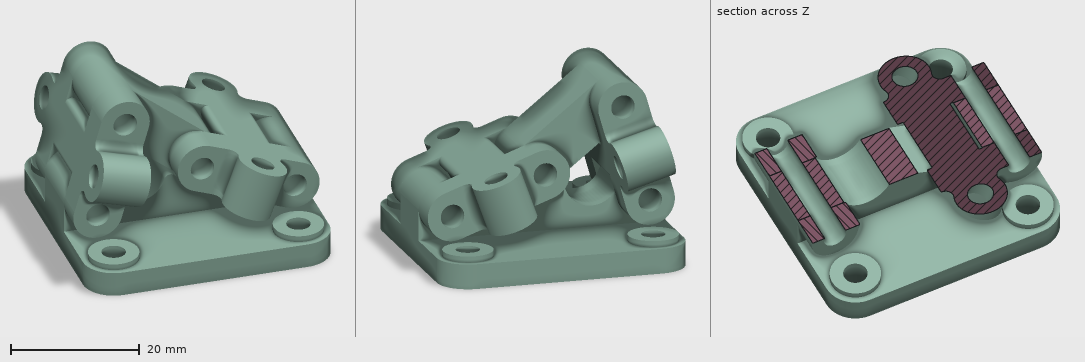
import cadquery as cq
import math


base_size = 40.0
plate_thickness = 4.0
corner_radius = 5.0
pad_height = 1.0
pad_diameter = 8.0
pad_offset = base_size / 2 - corner_radius

hole_diameter = 3.8
eye_radius = 4.0
edge_radius = 1.0
clearance = edge_radius / 2
relief_radius = eye_radius + clearance
tongue_width = 10.0

bar_length = 16.0
bar_hinges = ((0, 0), (bar_length, 0))
link_width = 20.0
ear_offset = 13.0
ear_radius = 4.0
neck_radius = 1.2

front_lean = 16.0
pivot_offset = base_size / 2 - eye_radius
pivot_height = plate_thickness + pad_height + eye_radius


def polar(center, radius, degrees):
    angle = math.radians(degrees)
    return (center[0] + radius * math.cos(angle), center[1] + radius * math.sin(angle))


def heading(start, end):
    """Direction from start to end, in degrees."""
    return math.degrees(math.atan2(end[1] - start[1], end[0] - start[0]))


def toward(center, target, radius):
    """Point at a given distance from center, in the direction of target."""
    return polar(center, radius, heading(center, target))


def circles_meet(center_1, radius_1, center_2, radius_2):
    """Meeting point of two circles, to the right of the line from center_1 to center_2."""
    gap = math.dist(center_1, center_2)
    along = (gap**2 + radius_1**2 - radius_2**2) / (2 * gap)
    turn = math.degrees(math.acos(along / radius_1))
    return polar(center_1, radius_1, heading(center_1, center_2) - turn)


def minor_arc(outline, center, start, end):
    """Add the shorter arc around center, from start to end."""
    chord_middle = ((start[0] + end[0]) / 2, (start[1] + end[1]) / 2)
    arc_middle = toward(center, chord_middle, math.dist(center, start))
    return outline.threePointArc(arc_middle, end)


front_pivot = (-pivot_offset, pivot_height)
rear_pivot = (pivot_offset, pivot_height)
front_link_angle = 90 - front_lean
front_joint = polar(front_pivot, bar_length, front_link_angle)
rear_joint = circles_meet(front_joint, bar_length, rear_pivot, bar_length)
rear_link_angle = heading(rear_pivot, rear_joint)
coupler_angle = heading(front_joint, rear_joint)


def place(body, pivot, angle):
    """Swing a body lying along +Y about its first hinge, then move that hinge to pivot."""
    return body.rotate((0, 0, 0), (1, 0, 0), angle).translate((0, *pivot))


def hinge_hole(pivot, width):
    return (
        cq.Workplane("YZ").center(*pivot).circle(hole_diameter / 2).extrude(width / 2, both=True)
    )


def bar(width, radius):
    """Bar along +Y with a full round about each of its two hinge axes."""
    return (
        cq.Workplane("YZ")
        .center(bar_length / 2, 0)
        .slot2D(bar_length + 2 * radius, 2 * radius)
        .extrude(width / 2, both=True)
    )


def drill_bar(body, width):
    for pivot in bar_hinges:
        body = body.cut(hinge_hole(pivot, width))
    return body


def base_plate():
    return (
        cq.Workplane("XY")
        .rect(base_size, base_size)
        .extrude(plate_thickness)
        .edges("|Z")
        .fillet(corner_radius)
    )


def base_web():
    """Tongue with two hinge eyes, a stop face under the rear link and a valley behind the front eye."""
    half = base_size / 2

    stop_side = rear_link_angle + 90
    root_reach = eye_radius + edge_radius
    root_drop = relief_radius - edge_radius
    root_turn = math.degrees(math.asin(root_drop / root_reach))
    root_center = polar(rear_pivot, root_reach, rear_link_angle + root_turn)
    root_start = toward(root_center, rear_pivot, edge_radius)
    stop_start = polar(root_center, edge_radius, stop_side)
    stop_end = polar(rear_joint, relief_radius, stop_side)

    valley_y = front_pivot[0] / 2
    valley_rise = math.sqrt((eye_radius + relief_radius) ** 2 - (valley_y - front_pivot[0]) ** 2)
    valley_center = (valley_y, pivot_height + valley_rise)
    valley_end = toward(front_pivot, valley_center, eye_radius)

    crest_reach = relief_radius + edge_radius
    crest_center = circles_meet(valley_center, crest_reach, rear_joint, crest_reach)
    crest_start = toward(rear_joint, crest_center, relief_radius)
    crest_end = toward(valley_center, crest_center, relief_radius)

    outline = cq.Workplane("YZ").moveTo(half, 0).lineTo(half, pivot_height)
    outline = outline.threePointArc(polar(rear_pivot, eye_radius, 90), root_start)
    outline = minor_arc(outline, root_center, root_start, stop_start)
    outline = outline.lineTo(*stop_end)
    outline = minor_arc(outline, rear_joint, stop_end, crest_start)
    outline = minor_arc(outline, crest_center, crest_start, crest_end)
    outline = minor_arc(outline, valley_center, crest_end, valley_end)
    outline = outline.threePointArc(polar(front_pivot, eye_radius, 90), (-half, pivot_height))
    outline = outline.lineTo(-half, 0).close()
    return outline.extrude(tongue_width / 2, both=True)


def make_base():
    pad_spacing = 2 * pad_offset
    pad_top = plate_thickness + pad_height
    pad_centers = cq.Workplane("XY").rect(pad_spacing, pad_spacing, forConstruction=True).vertices()
    pads = pad_centers.circle(pad_diameter / 2).extrude(pad_top)
    mounting_holes = pad_centers.circle(hole_diameter / 2).extrude(pad_top)
    body = base_plate().union(pads).union(base_web()).cut(mounting_holes)
    for pivot in (front_pivot, rear_pivot):
        body = body.cut(hinge_hole(pivot, tongue_width))
    return body


def crossbar():
    """Bridge between the cheeks: hollowed around both eyes, with rounded lips."""
    lip_height = eye_radius - edge_radius
    lip_reach = math.sqrt((relief_radius + edge_radius) ** 2 - lip_height**2)
    near_lip = lip_reach
    far_lip = bar_length - lip_reach
    near_hinge, far_hinge = bar_hinges

    outline = cq.Workplane("YZ").moveTo(near_lip, -eye_radius)
    for pivot, lip, side in ((far_hinge, far_lip, 1), (near_hinge, near_lip, -1)):
        first_center = (lip, -side * lip_height)
        last_center = (lip, side * lip_height)
        first_face = (lip, -side * eye_radius)
        last_face = (lip, side * eye_radius)
        hollow_start = toward(first_center, pivot, edge_radius)
        hollow_end = toward(last_center, pivot, edge_radius)
        outline = outline.lineTo(*first_face)
        outline = minor_arc(outline, first_center, first_face, hollow_start)
        outline = minor_arc(outline, pivot, hollow_start, hollow_end)
        outline = minor_arc(outline, last_center, hollow_end, last_face)
    return outline.close().extrude(tongue_width / 2, both=True)


def ear():
    """Round lug on the +X side of a link, with rounded necks; includes its hole."""
    side_x = link_width / 2
    middle = bar_length / 2
    ear_center = (ear_offset, middle)
    neck_x = side_x + neck_radius
    neck_rise = math.sqrt((ear_radius + neck_radius) ** 2 - (ear_offset - neck_x) ** 2)
    low_center = (neck_x, middle - neck_rise)
    high_center = (neck_x, middle + neck_rise)
    low_side = (side_x, middle - neck_rise)
    high_side = (side_x, middle + neck_rise)
    low_contact = toward(ear_center, low_center, ear_radius)
    high_contact = toward(ear_center, high_center, ear_radius)

    outline = cq.Workplane("XY").moveTo(*low_side)
    outline = minor_arc(outline, low_center, low_side, low_contact)
    outline = outline.threePointArc((ear_offset + ear_radius, middle), high_contact)
    outline = minor_arc(outline, high_center, high_contact, high_side).close()
    lug = outline.extrude(eye_radius, both=True)
    hole = cq.Workplane("XY").center(*ear_center).circle(hole_diameter / 2)
    return lug.cut(hole.extrude(eye_radius, both=True))


def make_link():
    cheeks = bar(link_width, eye_radius).cut(bar(tongue_width, eye_radius))
    body = cheeks.union(crossbar()).union(ear()).union(ear().mirror("YZ"))
    return drill_bar(body, link_width)


def make_coupler():
    return drill_bar(bar(tongue_width, eye_radius), tongue_width)


base = make_base()
coupler = place(make_coupler(), front_joint, coupler_angle)
rear_link = place(make_link(), rear_pivot, rear_link_angle)

coupler_relief = place(bar(tongue_width, relief_radius), front_joint, coupler_angle)
front_link = place(make_link(), front_pivot, front_link_angle).cut(coupler_relief)

bodies = (base, coupler, rear_link, front_link)
result = cq.Compound.makeCompound([body.solids().val() for body in bodies])